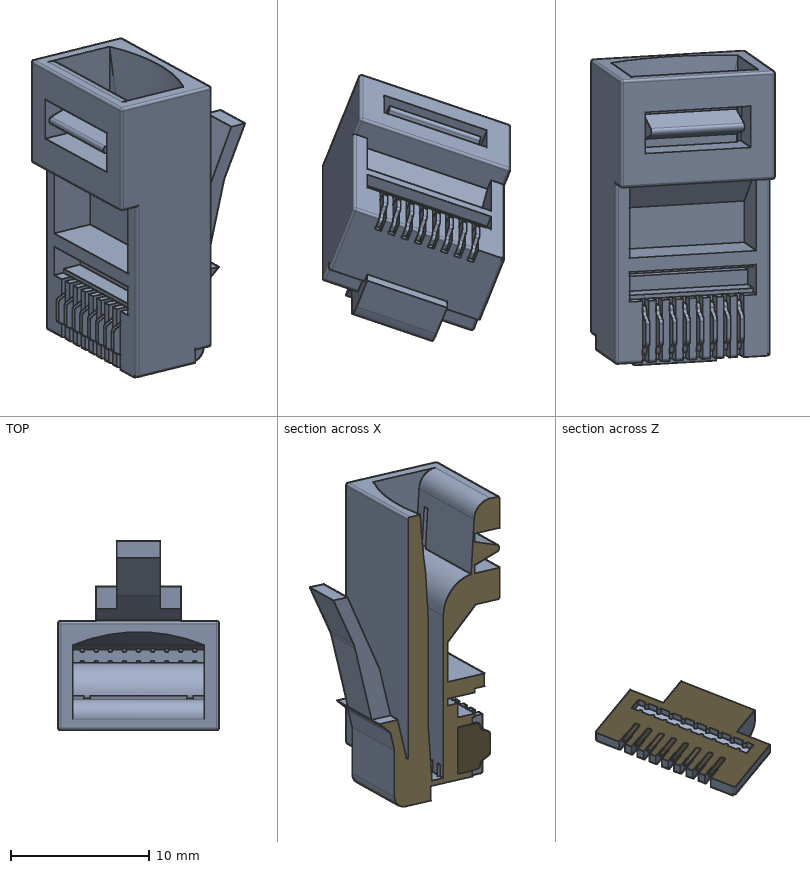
import cadquery as cq
import math


housing_width = 11.67
housing_depth = 7.93
housing_top = 22.4
housing_bottom = 1.12
collar_bottom = 14.4
lower_front = 1.32
notch_front = 6.5
notch_top = 2.13
edge_radius = 0.2

cavity_width = 9.55
entry_front = 0.83
entry_radius = 1.4
wall_lean = math.radians(3.5)
guide_radius = 2.75
cavity_back = 6.15
slot_front = 4.88
slot_back = 5.82
slot_bottom = 1.57
back_slope_top = 6.05
rib_radius = 0.15
rib_height = 0.9
arch_rise = 0.96
arch_taper = 4.8
arch_depth = arch_rise / math.tan(math.radians(arch_taper))

window_width = 7.93
window_bottom = 16.87
window_top = 19.91
clamp_width = 7.0
clamp_web_front = 2.15
wedge_bottom = 17.47
wedge_top = 19.3
wedge_slope = math.tan(math.radians(18.5))
wedge_nose_radius = 0.3

recess_bottom = 8.94
recess_back = 4.48
recess_slope_bottom = 11.98

pocket_bottom = 5.7
pocket_top = 7.9
pocket_rim = 0.31
pocket_rim_back = 2.15
pocket_wall_front = 3.58
pocket_slit_bottom = 7.1

contact_count = 8
contact_span = 7.12
contact_pitch = contact_span / (contact_count - 1)
contact_width = 0.31
contact_slot_width = 0.47
contact_slot_back = 2.35
contact_middle = 3.4
contact_half_height = 1.8
contact_nose_half = 0.87
contact_front = 0.8
contact_shoulder = 1.65
contact_back = 3.58
contact_slope = math.tan(math.radians(25.0))
contact_radius = 0.31

latch_width = 6.15
finger_width = 3.18
shoulder_height = 6.9
foot_front = 5.91
foot_radius = 0.99
latch_root = 3.7
latch_root_back = 8.0
latch_outer = 9.1
latch_outer_top = 4.57
latch_top = 16.85
latch_tip_front = 12.5
latch_tip_back = 13.7
shoulder_back = 10.42
inner_bend = (9.75, 10.73)
outer_bend = (11.9, 12.92)
bend_radius = 1.8
waist = (9.45, 6.03)
waist_radius = 0.34

contact_places = [(i - (contact_count - 1) / 2) * contact_pitch for i in range(contact_count)]
rib_places = [(i - contact_count / 2) * contact_pitch for i in range(contact_count + 1)]

lip_end_y = entry_front + entry_radius * math.cos(wall_lean)
lip_end_z = housing_top - entry_radius + entry_radius * math.sin(wall_lean)


def wall_y(z):
    """Y of the leaning front wall of the cavity at height z."""
    return lip_end_y + (lip_end_z - z) * math.tan(wall_lean)


def side_sketch(width):
    """Workplane at X = -width / 2 whose local axes are Y and Z."""
    return cq.Workplane("YZ", origin=(-width / 2, 0, 0))


def side_prism(points, width):
    """Prism with a Y-Z outline, centred on X = 0."""
    return side_sketch(width).polyline(points).close().extrude(width)


def side_box(width, front, back, bottom, top):
    """Box centred on X = 0."""
    return side_prism([(front, bottom), (back, bottom), (back, top), (front, top)], width)


def edges_within(front, back, bottom, top):
    """Selects the edges whose centres lie in this Y-Z range, at any X."""
    gap = 0.02
    return cq.selectors.BoxSelector(
        (-housing_width, front - gap, bottom - gap),
        (housing_width, back + gap, top + gap),
    )


def outer_block():
    block = side_prism(
        [
            (0, housing_top),
            (0, collar_bottom),
            (lower_front, collar_bottom),
            (lower_front, housing_bottom),
            (notch_front, housing_bottom),
            (notch_front, notch_top),
            (housing_depth, notch_top),
            (housing_depth, housing_top),
        ],
        housing_width,
    )
    collar_corner = edges_within(lower_front, lower_front, collar_bottom, collar_bottom)
    notch_wall = edges_within(notch_front, notch_front, housing_bottom, notch_top)
    sharp = block.edges(collar_corner).vals() + block.edges(notch_wall).vals()
    rounded = [edge for edge in block.edges().vals() if not any(edge.isSame(other) for other in sharp)]
    return block.newObject(rounded).fillet(edge_radius)


def square_foot():
    """Fills the front bottom edge back to a sharp corner on the +X side of the contacts."""
    start = contact_places[-1] + contact_slot_width / 2
    end = housing_width / 2 - edge_radius
    return cq.Workplane("XY", origin=(start, lower_front, housing_bottom)).box(
        end - start, edge_radius, edge_radius, centered=False
    )


def cable_cavity():
    wall_foot = wall_y(window_bottom)
    lip_angle = (math.pi / 2 + wall_lean) / 2
    guide_y = slot_front - guide_radius
    guide_start = math.asin((wall_foot - guide_y) / guide_radius)
    guide_z = window_bottom - guide_radius * math.cos(guide_start)
    guide_angle = (guide_start + math.pi / 2) / 2
    return (
        side_sketch(cavity_width)
        .moveTo(entry_front, housing_top)
        .threePointArc(
            (
                entry_front + entry_radius * math.cos(lip_angle),
                housing_top - entry_radius + entry_radius * math.sin(lip_angle),
            ),
            (lip_end_y, lip_end_z),
        )
        .lineTo(wall_foot, window_bottom)
        .threePointArc(
            (
                guide_y + guide_radius * math.sin(guide_angle),
                guide_z + guide_radius * math.cos(guide_angle),
            ),
            (slot_front, guide_z),
        )
        .lineTo(slot_front, slot_bottom)
        .lineTo(slot_back, slot_bottom)
        .lineTo(cavity_back, back_slope_top)
        .lineTo(cavity_back, housing_top)
        .close()
        .extrude(cavity_width)
    )


def arch_relief():
    half = cavity_width / 2
    return (
        cq.Workplane("XY", origin=(0, 0, housing_top))
        .moveTo(-half, slot_front)
        .lineTo(-half, cavity_back)
        .threePointArc((0, cavity_back + arch_rise), (half, cavity_back))
        .lineTo(half, slot_front)
        .close()
        .extrude(-arch_depth, taper=arch_taper)
    )


def wire_ribs():
    centres = [(x, y) for x in rib_places for y in (slot_front, slot_back)]
    return (
        cq.Workplane("XY", origin=(0, 0, slot_bottom))
        .pushPoints(centres)
        .circle(rib_radius)
        .extrude(rib_height)
    )


def cable_window():
    return side_box(window_width, 0, wall_y(window_bottom), window_bottom, window_top)


def cable_clamp():
    """Thin web across the window with a round-nosed wedge on its front."""
    tip_y = clamp_web_front - (wedge_top - wedge_bottom) / 2 / wedge_slope
    clamp = side_prism(
        [
            (wall_y(window_top), window_top),
            (wall_y(window_bottom), window_bottom),
            (clamp_web_front, window_bottom),
            (clamp_web_front, wedge_bottom),
            (tip_y, (wedge_top + wedge_bottom) / 2),
            (clamp_web_front, wedge_top),
            (clamp_web_front, window_top),
        ],
        clamp_width,
    )
    return clamp.edges("|X").edges("<Y").fillet(wedge_nose_radius)


def middle_recess():
    ceiling_front = recess_back - (collar_bottom - recess_slope_bottom)
    return side_prism(
        [
            (lower_front, recess_bottom),
            (recess_back, recess_bottom),
            (recess_back, recess_slope_bottom),
            (ceiling_front, collar_bottom),
            (lower_front, collar_bottom),
        ],
        cavity_width,
    )


def front_pocket():
    inner_bottom = pocket_bottom + pocket_rim
    inner_top = pocket_top - pocket_rim
    return side_prism(
        [
            (lower_front, pocket_bottom),
            (pocket_rim_back, pocket_bottom),
            (pocket_rim_back, inner_bottom),
            (pocket_wall_front, inner_bottom),
            (pocket_wall_front, pocket_slit_bottom),
            (recess_back, pocket_slit_bottom),
            (recess_back, inner_top),
            (pocket_rim_back, inner_top),
            (pocket_rim_back, pocket_top),
            (lower_front, pocket_top),
        ],
        cavity_width,
    )


def contact_slot():
    return side_box(contact_slot_width, lower_front, contact_slot_back, housing_bottom, pocket_bottom)


def contact(x):
    """One contact blade: a plate with a lower, rounded nose."""
    shoulder_half = contact_nose_half + contact_slope * (contact_shoulder - contact_front)
    upper = [
        (contact_front, contact_nose_half),
        (contact_shoulder, shoulder_half),
        (contact_shoulder, contact_half_height),
        (contact_back, contact_half_height),
    ]
    lower = [(y, -z) for y, z in reversed(upper)]
    blade = side_prism([(y, contact_middle + z) for y, z in upper + lower], contact_width)
    nose = edges_within(
        contact_front,
        contact_shoulder,
        contact_middle - contact_half_height,
        contact_middle + contact_half_height,
    )
    return blade.edges("|X").edges(nose).fillet(contact_radius).translate((x, 0, 0))


def latch():
    outline = [
        (foot_front, 0),
        (foot_front, housing_bottom),
        (notch_front, housing_bottom),
        (notch_front, latch_root),
        (latch_root_back, latch_root),
        inner_bend,
        (latch_tip_front, latch_top),
        (latch_tip_back, latch_top),
        outer_bend,
        (shoulder_back, shoulder_height),
        waist,
        (latch_outer, latch_outer_top),
        (latch_outer, 0),
    ]
    body = side_prism(outline, latch_width)
    roundings = [
        ((latch_outer, 0), foot_radius),
        (waist, waist_radius),
        (inner_bend, bend_radius),
        (outer_bend, bend_radius),
    ]
    for (y, z), radius in roundings:
        body = body.edges("|X").edges(edges_within(y, y, z, z)).fillet(radius)
    cheek = cq.Workplane("XY").box(latch_width, housing_top, housing_top, centered=(True, False, False))
    cheek_offset = (finger_width + latch_width) / 2
    for side in (-1, 1):
        body = body.cut(cheek.translate((side * cheek_offset, housing_depth, shoulder_height)))
    return body


def make_housing():
    body = outer_block().union(square_foot())
    body = body.cut(cable_cavity()).cut(arch_relief()).cut(cable_window())
    body = body.union(cable_clamp()).union(wire_ribs())
    body = body.cut(middle_recess()).cut(front_pocket())
    for x in contact_places:
        body = body.cut(contact_slot().translate((x, 0, 0)))
        body = body.cut(contact(x))
    return body.union(latch())


housing = make_housing()
contacts = [contact(x) for x in contact_places]

result = cq.Compound.makeCompound([housing.val(), *[blade.val() for blade in contacts]])